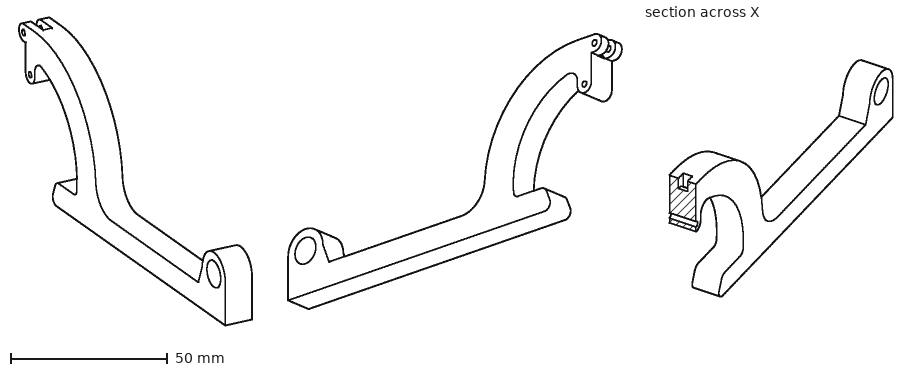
import cadquery as cq
import math

length = 134.72
thickness = 9.8
height = 55.2
bar_height = 8.4

eye_radius = 7.5
eye_hole_diameter = 9.0
eye_x = length - eye_radius
eye_z = 15.1
eye_slope_foot_x = 117.1

knuckle_radius = 3.0
fork_hole_diameter = 2.0
pivot_hole_diameter = 1.9
fork_x = knuckle_radius
fork_z = height - knuckle_radius
pivot_x = 7.3
pivot_z = 39.2
hook_face_x = pivot_x - knuckle_radius
pivot_right_x = pivot_x + knuckle_radius

slot_width = 3.3
slot_center_y = -0.15
slot_end_x = pivot_right_x
slot_ledge_z = fork_z - knuckle_radius
floor_start_x = 4.6
floor_radius = 3.25
floor_top_z = 51.2

outer_radius = 40.0
outer_x = pivot_right_x
outer_z = height - outer_radius
inner_radius = 32.8
inner_x = 5.1
inner_z = 13.2

outer_blend_radius = 10.0
inner_blend_radius = 2.0
hook_blend_radius = 3.6

nose_radius = 2.5
nose_left_x = 22.0
nose_lean = math.radians(23)


def on_circle(center, radius, angle):
    """Point on a circle at an angle measured from +X towards +Z."""
    return (center[0] + radius * math.cos(angle), center[1] + radius * math.sin(angle))


def blend_arc(sketch, center, radius, start_angle, end_angle):
    """Append a circular arc, starting at the current point, to an outline."""
    middle = on_circle(center, radius, (start_angle + end_angle) / 2)
    return sketch.threePointArc(middle, on_circle(center, radius, end_angle))


def make_body():
    outer = (outer_x, outer_z)
    inner = (inner_x, inner_z)
    right = 0
    up = math.pi / 2
    left = math.pi
    down = 3 * math.pi / 2

    outer_blend_z = bar_height + outer_blend_radius
    outer_blend_rise = outer_blend_z - outer_z
    outer_blend_reach = outer_radius + outer_blend_radius
    outer_blend = (outer_x + math.sqrt(outer_blend_reach**2 - outer_blend_rise**2), outer_blend_z)
    outer_touch = math.asin(outer_blend_rise / outer_blend_reach)

    inner_blend_z = bar_height + inner_blend_radius
    inner_blend_reach = inner_radius - inner_blend_radius
    inner_touch = math.asin((inner_blend_z - inner_z) / inner_blend_reach)
    inner_blend = on_circle(inner, inner_blend_reach, inner_touch)

    hook_blend_x = pivot_right_x + hook_blend_radius
    hook_touch = math.acos((hook_blend_x - inner_x) / (inner_radius - hook_blend_radius))
    hook_blend = on_circle(inner, inner_radius - hook_blend_radius, hook_touch)

    nose_normal = math.pi - nose_lean
    lower_nose = (nose_left_x + nose_radius, nose_radius)
    upper_nose_z = bar_height - nose_radius
    upper_nose_x = lower_nose[0] + (upper_nose_z - nose_radius) * math.tan(nose_lean)
    upper_nose = (upper_nose_x, upper_nose_z)

    outline = cq.Workplane("XZ").moveTo(lower_nose[0], 0).lineTo(length, 0)
    outline = outline.lineTo(length, eye_z)
    outline = blend_arc(outline, (eye_x, eye_z), eye_radius, right, left)
    outline = outline.lineTo(eye_slope_foot_x, bar_height).lineTo(outer_blend[0], bar_height)
    outline = blend_arc(outline, outer_blend, outer_blend_radius, down, left + outer_touch)
    outline = blend_arc(outline, outer, outer_radius, outer_touch, up)
    outline = outline.lineTo(fork_x, height)
    outline = blend_arc(outline, (fork_x, fork_z), knuckle_radius, up, down)
    outline = outline.lineTo(hook_face_x, slot_ledge_z).lineTo(hook_face_x, pivot_z)
    outline = blend_arc(outline, (pivot_x, pivot_z), knuckle_radius, left, 2 * math.pi)
    outline = outline.lineTo(pivot_right_x, hook_blend[1])
    outline = blend_arc(outline, hook_blend, hook_blend_radius, left, hook_touch)
    outline = blend_arc(outline, inner, inner_radius, hook_touch, inner_touch)
    outline = blend_arc(outline, inner_blend, inner_blend_radius, inner_touch, -up)
    outline = outline.lineTo(upper_nose[0], bar_height)
    outline = blend_arc(outline, upper_nose, nose_radius, up, nose_normal)
    outline = outline.lineTo(*on_circle(lower_nose, nose_radius, nose_normal))
    outline = blend_arc(outline, lower_nose, nose_radius, nose_normal, down)
    return outline.close().extrude(thickness / 2, both=True)


def make_fork_slot():
    floor_center_z = floor_top_z - floor_radius
    ledge_drop = slot_ledge_z - floor_center_z
    floor_x = floor_start_x + math.sqrt(floor_radius**2 - ledge_drop**2)
    end_angle = math.acos((slot_end_x - floor_x) / floor_radius)
    floor_end = on_circle((floor_x, floor_center_z), floor_radius, end_angle)
    slot = (
        cq.Workplane("XZ", origin=(0, slot_center_y, 0))
        .moveTo(0, slot_ledge_z)
        .lineTo(floor_start_x, slot_ledge_z)
        .threePointArc((floor_x, floor_top_z), floor_end)
        .lineTo(slot_end_x, height)
        .lineTo(0, height)
        .close()
    )
    return slot.extrude(slot_width / 2, both=True)


def make_cross_hole(x, z, diameter):
    hole = cq.Workplane("XZ").center(x, z).circle(diameter / 2)
    return hole.extrude(thickness, both=True)


result = make_body().cut(make_fork_slot())
for hole_x, hole_z, hole_diameter in (
    (eye_x, eye_z, eye_hole_diameter),
    (fork_x, fork_z, fork_hole_diameter),
    (pivot_x, pivot_z, pivot_hole_diameter),
):
    result = result.cut(make_cross_hole(hole_x, hole_z, hole_diameter))